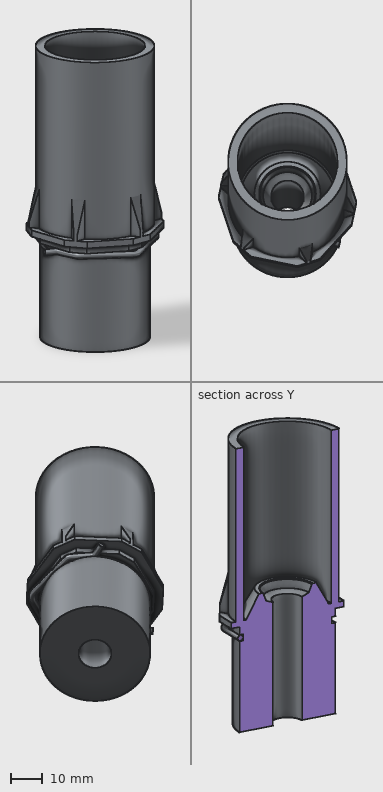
import cadquery as cq
import math

TOTAL_HEIGHT = 96.0
GROOVE_BOTTOM = 30.8
WIRE_DIAMETER = 2.0
COLLAR_BOTTOM = GROOVE_BOTTOM + WIRE_DIAMETER
FLANGE_BOTTOM = 35.5
FLANGE_TOP = 37.6
RIB_SHOULDER = 39.7
RIB_TOP = 50.3

SOCKET_RADIUS = 18.8
BORE_RADIUS = 15.8
SPIGOT_RADIUS = 17.5
GROOVE_RADIUS = 16.1

HEXAGON_HALF_ANGLE = 30.0
FLANGE_WIDTH = 41.0
FLANGE_FLAT = FLANGE_WIDTH / 2
FLANGE_CORNER = 21.5
COLLAR_FLAT = 17.5
COLLAR_CORNER = 18.5

RIB_COUNT = 6
RIB_TIP_WIDTH = 1.2
RIB_FLANK_ANGLE = 30.0

FLOOR_HEIGHT = FLANGE_TOP
NOZZLE_HEIGHT = 8.0
NOZZLE_TOP = FLOOR_HEIGHT + NOZZLE_HEIGHT
NOZZLE_BASE_RADIUS = 15.1
NOZZLE_TIP_RADIUS = 10.5
MOUTH_RADIUS = 9.0
MOUTH_CHAMFER = 0.3
THROAT_RADIUS = 7.7
THROAT_DEPTH = 2.9
PASSAGE_RADIUS = 5.2
FUNNEL_DEPTH = 1.0

WIRE_RADIUS = WIRE_DIAMETER / 2
CLIP_FLAT = GROOVE_RADIUS + WIRE_RADIUS
CLIP_SIDE_SLOPE = math.radians(22.5)
CLIP_BEND_RADIUS = 2.0
CLIP_BACK_BEND_RADIUS = 3.0
TAIL_BEND_X = -7.7
TAIL_END_X = -11.4
TAIL_END_Y = 17.9


def hexagon(half_flats, bottom, top, turn):
    """Hexagonal plate, its corners at 0, 60, 120... degrees before it is turned about Z."""
    across_corners = 2 * half_flats / math.cos(math.radians(HEXAGON_HALF_ANGLE))
    plate = cq.Workplane("XY", origin=(0, 0, bottom)).polygon(6, across_corners).extrude(top - bottom)
    return plate.rotate((0, 0, 0), (0, 0, 1), turn)


def trimmed_hexagon(flat, corner, bottom, top):
    """Hexagonal plate with two flats facing X and its six corners trimmed square."""
    main = hexagon(flat, bottom, top, HEXAGON_HALF_ANGLE)
    return main.intersect(hexagon(corner, bottom, top, 0))


def cylinder(radius, bottom, top):
    return cq.Workplane("XY", origin=(0, 0, bottom)).circle(radius).extrude(top - bottom)


def revolved(profile):
    """Turn a closed (radius, height) outline about the Z axis."""
    return cq.Workplane("XZ").polyline(profile).close().revolve(360, (0, 0, 0), (0, 1, 0))


def ribs():
    """Tapering buttresses whose sloping backs all lie on one cone."""
    tip_half = RIB_TIP_WIDTH / 2
    outer_radius = math.hypot(FLANGE_CORNER, tip_half)
    envelope = revolved([
        (0, FLANGE_TOP),
        (outer_radius, FLANGE_TOP),
        (outer_radius, RIB_SHOULDER),
        (SOCKET_RADIUS, RIB_TOP),
        (0, RIB_TOP),
    ])
    root = (BORE_RADIUS + SOCKET_RADIUS) / 2
    root_half = tip_half + (FLANGE_CORNER - root) * math.tan(math.radians(RIB_FLANK_ANGLE))
    blade = (
        cq.Workplane("XY", origin=(0, 0, FLANGE_TOP))
        .polyline([
            (root, -root_half),
            (FLANGE_CORNER, -tip_half),
            (FLANGE_CORNER, tip_half),
            (root, root_half),
        ])
        .close()
        .extrude(RIB_TOP - FLANGE_TOP)
        .intersect(envelope)
    )
    spacing = 360 / RIB_COUNT
    return [blade.rotate((0, 0, 0), (0, 0, 1), spacing * (i + 0.5)) for i in range(RIB_COUNT)]


def clip():
    """Spring wire swept along straight stretches joined by round bends."""
    apex_y = CLIP_FLAT / math.cos(CLIP_SIDE_SLOPE)
    tail_bend_y = apex_y + TAIL_BEND_X * math.tan(CLIP_SIDE_SLOPE)
    back_y = apex_y - CLIP_FLAT * math.tan(CLIP_SIDE_SLOPE)
    corners = [
        (TAIL_END_X, -TAIL_END_Y, 0),
        (TAIL_BEND_X, -tail_bend_y, CLIP_BEND_RADIUS),
        (0, -apex_y, CLIP_BEND_RADIUS),
        (CLIP_FLAT, -back_y, CLIP_BACK_BEND_RADIUS),
        (CLIP_FLAT, back_y, CLIP_BACK_BEND_RADIUS),
        (0, apex_y, CLIP_BEND_RADIUS),
        (TAIL_BEND_X, tail_bend_y, CLIP_BEND_RADIUS),
        (TAIL_END_X, TAIL_END_Y, 0),
    ]
    z = GROOVE_BOTTOM + WIRE_RADIUS
    points = [cq.Vector(x, y, z) for x, y, _ in corners]
    path = cq.Workplane("XY", origin=(0, 0, z)).moveTo(points[0].x, points[0].y)
    for i in range(1, len(corners) - 1):
        here = points[i]
        bend = corners[i][2]
        back = (points[i - 1] - here).normalized()
        ahead = (points[i + 1] - here).normalized()
        half_angle = back.getAngle(ahead) / 2
        setback = bend / math.tan(half_angle)
        start = here + back * setback
        middle = here + (back + ahead).normalized() * (bend / math.sin(half_angle) - bend)
        end = here + ahead * setback
        path = path.lineTo(start.x, start.y).threePointArc((middle.x, middle.y), (end.x, end.y))
    path = path.lineTo(points[-1].x, points[-1].y)
    section = cq.Plane(origin=points[0].toTuple(), normal=(points[1] - points[0]).toTuple())
    return cq.Workplane(section).circle(WIRE_RADIUS).sweep(path)


def nozzle():
    return revolved([
        (0, FLOOR_HEIGHT),
        (NOZZLE_BASE_RADIUS, FLOOR_HEIGHT),
        (NOZZLE_TIP_RADIUS, NOZZLE_TOP),
        (0, NOZZLE_TOP),
    ])


def passage():
    """Space inside the nozzle: tapered throat, shallow funnel, and a straight hole to the bottom."""
    throat_bottom = NOZZLE_TOP - THROAT_DEPTH
    return revolved([
        (0, NOZZLE_TOP),
        (MOUTH_RADIUS, NOZZLE_TOP),
        (MOUTH_RADIUS - MOUTH_CHAMFER, NOZZLE_TOP - MOUTH_CHAMFER),
        (THROAT_RADIUS, throat_bottom),
        (PASSAGE_RADIUS, throat_bottom - FUNNEL_DEPTH),
        (PASSAGE_RADIUS, 0),
        (0, 0),
    ])


def housing():
    """Spigot below, hexagonal collar and flange, and the ribbed socket above."""
    body = cylinder(SPIGOT_RADIUS, 0, GROOVE_BOTTOM)
    body = body.union(cylinder(GROOVE_RADIUS, 0, FLANGE_BOTTOM))
    body = body.union(trimmed_hexagon(COLLAR_FLAT, COLLAR_CORNER, COLLAR_BOTTOM, FLANGE_BOTTOM))
    body = body.union(trimmed_hexagon(FLANGE_FLAT, FLANGE_CORNER, FLANGE_BOTTOM, FLANGE_TOP))
    body = body.union(cylinder(SOCKET_RADIUS, FLANGE_TOP, TOTAL_HEIGHT))
    for rib in ribs():
        body = body.union(rib)
    body = body.cut(cylinder(BORE_RADIUS, FLOOR_HEIGHT, TOTAL_HEIGHT))
    return body.union(nozzle()).cut(passage())


spring_clip = clip()
pipe_housing = housing()
result = cq.Compound.makeCompound([pipe_housing.solids().val(), spring_clip.val()])